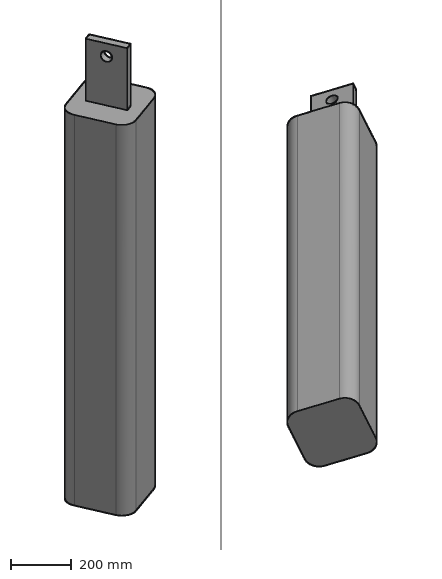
import cadquery as cq

total_height = 1750.0
post_width = 250.0
corner_radius = 50.0
plate_height = 240.0
plate_thickness = 30.0
hole_diameter = 40.0
hole_below_top = 50.0

plate_width = post_width - 2 * corner_radius
post_height = total_height - plate_height
hole_height = total_height - hole_below_top

post = (
    cq.Workplane("XY")
    .rect(post_width, post_width)
    .extrude(post_height)
    .edges("|Z")
    .fillet(corner_radius)
)

plate = (
    cq.Workplane("XY", origin=(0, 0, post_height))
    .box(plate_width, plate_thickness, plate_height, centered=(True, True, False))
    .translate((0, -plate_thickness / 2, 0))
)

hole = (
    cq.Workplane("XZ")
    .center(0, hole_height)
    .circle(hole_diameter / 2)
    .extrude(plate_thickness)
)

result = post.union(plate.cut(hole))